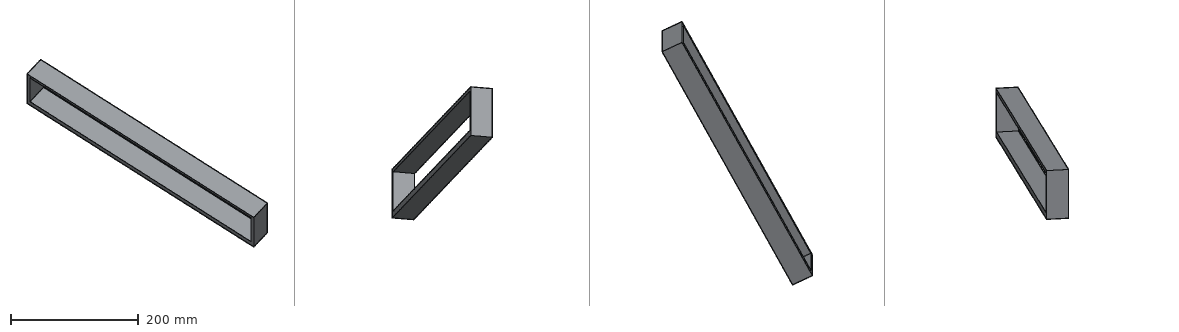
import cadquery as cq

length = 450.0
depth = 35.0
height = 80.0

side_wall = 6.0
top_wall = 6.0
bottom_wall = 10.0

opening_length = length - 2 * side_wall
opening_height = height - top_wall - bottom_wall
opening_center_z = (bottom_wall - top_wall) / 2

frame = cq.Workplane("XY").box(length, depth, height)

opening = (
    cq.Workplane("XY")
    .box(opening_length, depth, opening_height)
    .translate((0, 0, opening_center_z))
)

result = frame.cut(opening)